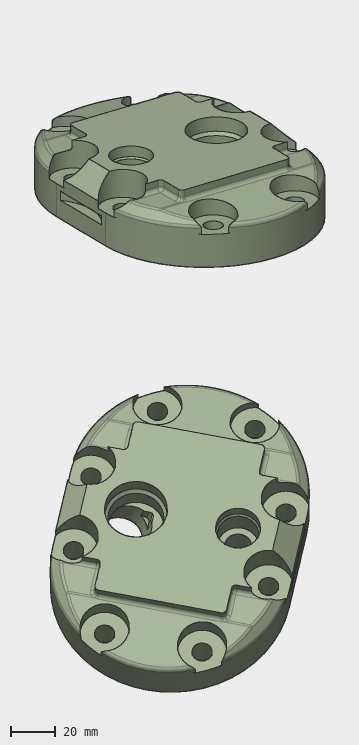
import math

import cadquery as cq

length = 146.0
width = 108.0
height = 30.0
end_radius = width / 2
end_center_x = length / 2 - end_radius
wall_height = 20.0
edge_fillet = 2.0
slope_angle = 45.0

island_half_length = 43.5
notch_x = 28.4
notch_y = 30.0
island_corner_radius = 2.0
foot_fillet = 2.0

shoulder_z = 24.7
shoulder_bend_x = 44.5
shoulder_bend_radius = 6.0
shoulder_slope = 9.0
shoulder_edge_fillet = 2.0

bolt_circle_radius = 44.5
bolt_angles = (30, 90)
bolt_hole_diameter = 9.0
spot_face_diameter = 22.0
spot_face_z = 16.3

port_floor_z = 13.0
large_port_y = 20.0
large_mouth_diameter = 28.0
large_mouth_depth = 7.0
large_bore_diameter = 25.0
large_cone_depth = 1.5
small_port_y = -26.6
small_mouth_diameter = 20.0
small_mouth_depth = 5.2
small_bore_diameter = 18.4
small_cone_depth = 0.8
small_outlet_diameter = 12.0

slanted_outlet_diameter = 20.0
slanted_outlet_y = 23.5
slanted_outlet_angle = 19.0

relief_width = 17.2
relief_front_y = 13.4
relief_back_y = 20.0
relief_depth = 3.0
relief_corner_radius = 2.0

slot_chord = 32.0
slot_cutter_radius = 25.0
slot_bottom_z = 9.2
slot_height = 4.5

tolerance = 0.01


def outline(margin):
    """Stadium outline of the cover, grown by a margin, on the base plane."""
    return cq.Workplane("XY").slot2D(length + 2 * margin, width + 2 * margin)


def distance_from_axis(point):
    """Distance from the segment joining the two end centers."""
    return math.hypot(max(abs(point.x) - end_center_x, 0), point.y)


def make_island_prism():
    """Vertical prism with the cross-shaped plan of the island."""
    middle = cq.Workplane("XY").rect(2 * island_half_length, 2 * notch_y).extrude(2 * height)
    arms = cq.Workplane("XY").rect(2 * notch_x, 2 * width).extrude(2 * height)
    corners = cq.selectors.BoxSelector(
        (-length, -notch_y - tolerance, 0), (length, notch_y + tolerance, 2 * height)
    )
    return middle.union(arms).edges("|Z").edges(corners).fillet(island_corner_radius)


def make_shoulder_space():
    """Space above the shoulder surface, as a profile run along Y."""
    drop = (length - shoulder_bend_x) * math.tan(math.radians(shoulder_slope))
    profile = [
        (-length, shoulder_z - drop),
        (-shoulder_bend_x, shoulder_z),
        (shoulder_bend_x, shoulder_z),
        (length, shoulder_z - drop),
        (length, 2 * height),
        (-length, 2 * height),
    ]
    bends = cq.selectors.BoxSelector(
        (-shoulder_bend_x - tolerance, -width, shoulder_z - tolerance),
        (shoulder_bend_x + tolerance, width, shoulder_z + tolerance),
    )
    space = cq.Workplane("XZ").polyline(profile).close().extrude(width, both=True)
    return space.edges("|Y").edges(bends).fillet(shoulder_bend_radius)


def is_island_foot(edge):
    """True for the edges where the straight island walls meet the shoulder."""
    box = edge.BoundingBox()
    center = edge.Center()
    level = abs(box.zmin - shoulder_z) < tolerance and abs(box.zmax - shoulder_z) < tolerance
    on_arm = abs(abs(center.x) - notch_x) < tolerance
    on_middle = abs(abs(center.y) - notch_y) < tolerance
    on_end = abs(abs(center.x) - island_half_length) < tolerance
    return level and (on_arm or on_middle or on_end)


def end_points(edge):
    return edge.startPoint(), edge.endPoint()


def is_shoulder_rim(edge):
    """True for the edges where the shoulder meets the sloped sides, above the base."""
    for point in end_points(edge):
        drop = (distance_from_axis(point) - end_radius) * math.tan(math.radians(slope_angle))
        on_slope = abs(point.z - (wall_height - drop)) < tolerance
        in_range = tolerance < point.z < shoulder_z + tolerance
        if not (on_slope and in_range):
            return False
    return abs(edge.endPoint().y - edge.startPoint().y) > tolerance


def is_wall_top(edge):
    """True for the edges at the top of the rounded end walls."""
    for point in end_points(edge):
        near_top = abs(point.z - wall_height) < edge_fillet
        on_end = abs(point.x) > end_center_x - tolerance
        on_wall = abs(distance_from_axis(point) - end_radius) < tolerance
        if not (near_top and on_end and on_wall):
            return False
    return edge.geomType() != "LINE" and abs(edge.Center().x) > end_center_x


def fillet_where(body, condition, radius):
    return body.newObject([e for e in body.edges().vals() if condition(e)]).fillet(radius)


def make_body():
    """Island and shoulder, trimmed by the sloped sides and then by the vertical wall."""
    slope_base_margin = wall_height / math.tan(math.radians(slope_angle))
    stock = cq.Workplane("XY").box(2 * length, 2 * width, height, centered=(True, True, False))
    body = stock.cut(make_shoulder_space().cut(make_island_prism()))
    body = fillet_where(body, is_island_foot, foot_fillet)
    sloped_sides = outline(slope_base_margin).extrude(height, taper=slope_angle)
    body = body.intersect(sloped_sides)
    body = fillet_where(body, is_shoulder_rim, shoulder_edge_fillet)
    body = body.intersect(outline(0).extrude(height))
    return fillet_where(body, is_wall_top, edge_fillet)


def make_straight_sides():
    """Middle block that keeps a sharp edge along the two straight sides."""
    top_half_width = width / 2 - (height - wall_height) / math.tan(math.radians(slope_angle))
    section = [
        (-width / 2, 0),
        (width / 2, 0),
        (width / 2, wall_height),
        (top_half_width, height),
        (-top_half_width, height),
        (-width / 2, wall_height),
    ]
    return cq.Workplane("YZ").polyline(section).close().extrude(end_center_x, both=True)


def bolt_positions():
    positions = []
    for side in (-1, 1):
        for angle in bolt_angles:
            x = end_center_x + bolt_circle_radius * math.cos(math.radians(angle))
            y = bolt_circle_radius * math.sin(math.radians(angle))
            positions += [(side * x, y), (side * x, -y)]
    return positions


def make_bolt_cutters():
    """Through holes with the wide spot faces above them."""
    holes = cq.Workplane("XY").pushPoints(bolt_positions()).circle(bolt_hole_diameter / 2)
    faces = (
        cq.Workplane("XY", origin=(0, 0, spot_face_z))
        .pushPoints(bolt_positions())
        .circle(spot_face_diameter / 2)
    )
    return holes.extrude(height).union(faces.extrude(height))


def make_port_cutter(port_y, mouth_diameter, mouth_depth, bore_diameter, cone_depth):
    """Revolved port: wide mouth, conical step and bore down to the port floor."""
    cone_top_z = height - mouth_depth
    profile = [
        (0, height),
        (mouth_diameter / 2, height),
        (mouth_diameter / 2, cone_top_z),
        (bore_diameter / 2, cone_top_z - cone_depth),
        (bore_diameter / 2, port_floor_z),
        (0, port_floor_z),
    ]
    turned = cq.Workplane("XZ").polyline(profile).close().revolve(360, (0, 0), (0, 1))
    return turned.translate((0, port_y, 0))


def make_slanted_outlet():
    """Slanted bore from the large port's floor out through the base, with its shallow relief."""
    bore = cq.Workplane("XY").circle(slanted_outlet_diameter / 2).extrude(height, both=True)
    foreshortening = math.cos(math.radians(slanted_outlet_angle))
    relief_length = (relief_back_y - relief_front_y) * foreshortening
    relief_middle_y = (relief_front_y + relief_back_y) / 2
    relief_center_y = (relief_middle_y - slanted_outlet_y) * foreshortening
    relief = (
        cq.Workplane("XY", origin=(0, relief_center_y, 0))
        .box(relief_width, relief_length, 2 * relief_depth)
        .edges("|Z and <Y")
        .fillet(relief_corner_radius)
    )
    slanted = (
        bore.union(relief)
        .rotate((0, 0, 0), (1, 0, 0), slanted_outlet_angle)
        .translate((0, slanted_outlet_y, port_floor_z))
    )
    below_floor = cq.Workplane("XY").rect(length, width).extrude(port_floor_z)
    return slanted.intersect(below_floor)


def make_side_slot():
    """Disc whose edge bites a shallow slot into the -Y side."""
    axis_offset = math.sqrt(slot_cutter_radius**2 - (slot_chord / 2) ** 2)
    return (
        cq.Workplane("XY", origin=(0, -width / 2 - axis_offset, slot_bottom_z))
        .circle(slot_cutter_radius)
        .extrude(slot_height)
    )


result = (
    make_body()
    .union(make_straight_sides())
    .cut(make_bolt_cutters())
    .cut(
        make_port_cutter(
            large_port_y, large_mouth_diameter, large_mouth_depth, large_bore_diameter, large_cone_depth
        )
    )
    .cut(
        make_port_cutter(
            small_port_y, small_mouth_diameter, small_mouth_depth, small_bore_diameter, small_cone_depth
        )
    )
    .cut(cq.Workplane("XY").center(0, small_port_y).circle(small_outlet_diameter / 2).extrude(height))
    .cut(make_slanted_outlet())
    .cut(make_side_slot())
)